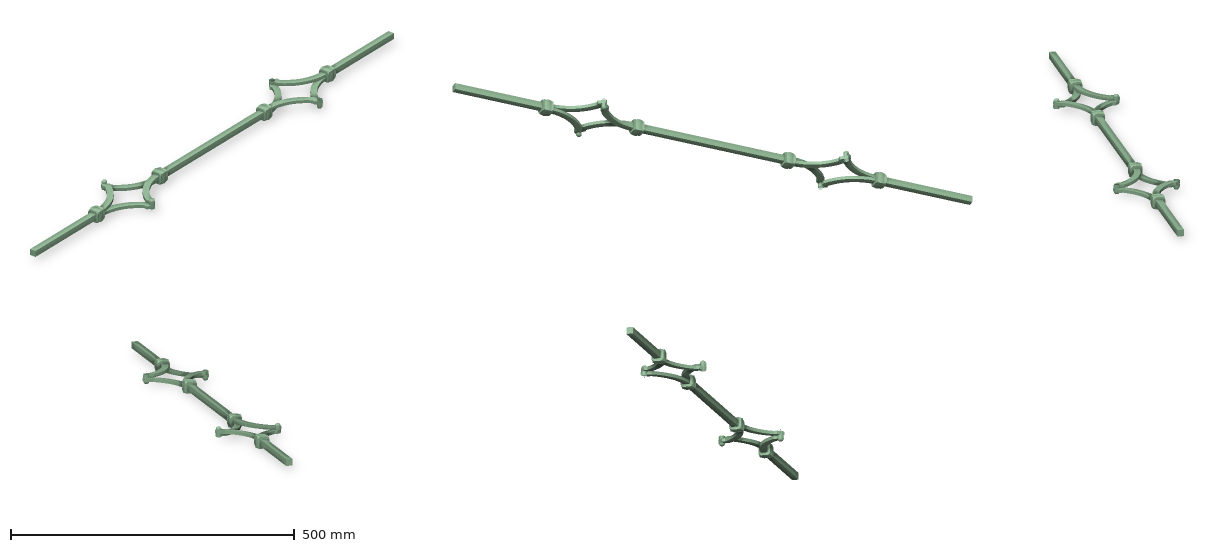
import cadquery as cq
import math

length = 1000.0
bar_side = 12.0
basket_center = 234.0
collar_offset = 88.0

collar_side = 22.0
collar_length = 20.0
groove_offset = 6.0
groove_depth = 1.0
corner_radius = 16.0

strip_width = bar_side
strip_thickness = bar_side / 2
arm_radius = 91.0
bend_start = 82.0

diamond_width = 121.0
half_width = diamond_width / 2
pin_radius = 5.0
pin_height = 22.0
pin_rounding = 4.0
pin_offset = 54.0
flare_start = 45.0
flare_end = 51.0
flare_half_height = 11.0
tip_overlap = 1.0


def straight_bar(start, end):
    """Square bar along Y between two positions."""
    return cq.Workplane("XY").box(bar_side, end - start, bar_side).translate((0, (start + end) / 2, 0))


def collar_slab():
    """Slab whose two long sides (-X and +X) carry the bulge and grooves."""
    half_side = collar_side / 2
    half_length = collar_length / 2
    groove = half_side - groove_depth
    return (
        cq.Workplane("XY")
        .moveTo(half_side, -half_length)
        .lineTo(groove, -groove_offset)
        .threePointArc((half_side, 0), (groove, groove_offset))
        .lineTo(half_side, half_length)
        .lineTo(-half_side, half_length)
        .lineTo(-groove, groove_offset)
        .threePointArc((-half_side, 0), (-groove, -groove_offset))
        .lineTo(-half_side, -half_length)
        .close()
        .extrude(half_side, both=True)
    )


def make_collar():
    """Block with the bulged profile on all four long sides and its eight corners rounded off."""
    slab = collar_slab()
    block = slab.intersect(slab.rotate((0, 0, 0), (0, 1, 0), 90))
    return block.intersect(cq.Workplane("XY").sphere(corner_radius))


def make_arm():
    """Strip from the +Y collar to the +X tip, lying on z = 0."""
    outer = arm_radius - strip_width / 2
    inner = arm_radius + strip_width / 2
    outer_angle = math.acos((arm_radius - flare_start) / outer)
    inner_angle = math.asin((bend_start + tip_overlap) / inner)

    def on_bend(radius, angle):
        return arm_radius - radius * math.cos(angle), bend_start - radius * math.sin(angle)

    return (
        cq.Workplane("XY")
        .moveTo(-strip_width / 2, collar_offset)
        .lineTo(*on_bend(inner, 0))
        .threePointArc(on_bend(inner, inner_angle / 2), on_bend(inner, inner_angle))
        .lineTo(half_width, -tip_overlap)
        .lineTo(flare_end, flare_half_height)
        .lineTo(*on_bend(outer, outer_angle))
        .threePointArc(on_bend(outer, outer_angle / 2), on_bend(outer, 0))
        .lineTo(strip_width / 2, collar_offset)
        .close()
        .extrude(strip_thickness)
    )


def make_pin():
    """Upright pin with rounded ends, centered on z = 0."""
    pin = cq.Workplane("XY").circle(pin_radius).extrude(pin_height / 2, both=True)
    return pin.faces("<Z or >Z").edges().fillet(pin_rounding)


def make_basket():
    """Diamond with its +X +Y and -X -Y arms on top and the other two below."""
    arm = make_arm()
    low_arm = arm.rotate((0, 0, 0), (0, 1, 0), 180)
    basket = arm.union(low_arm)
    basket = basket.union(basket.rotate((0, 0, 0), (0, 0, 1), 180))
    for side in (-1, 1):
        basket = basket.union(make_pin().translate((side * pin_offset, 0, 0)))
        basket = basket.union(make_collar().translate((0, side * collar_offset, 0)))
    return basket


inner_end = basket_center - collar_offset
outer_end = basket_center + collar_offset

lower_basket = make_basket().translate((0, -basket_center, 0))
result = (
    straight_bar(-inner_end, inner_end)
    .union(straight_bar(outer_end, length / 2))
    .union(straight_bar(-length / 2, -outer_end))
    .union(lower_basket)
    .union(lower_basket.mirror("XZ"))
)